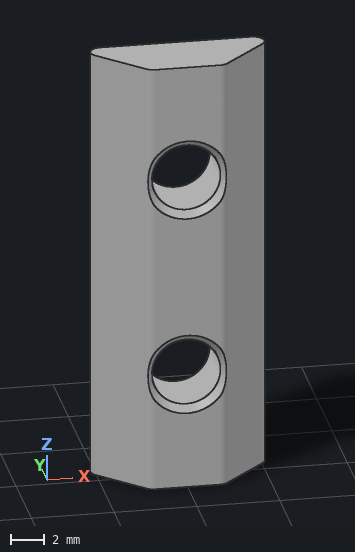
import cadquery as cq

length = 27.0
thickness = 4.0
narrow_width = 4.5
wide_width = narrow_width + 2 * thickness
edge_radius = 0.7

bore_diameter = 4.13
countersink_diameter = 5.0
countersink_depth = (countersink_diameter - bore_diameter) / 2
bore_spacing = 12.5

wide_face_y = thickness / 2
narrow_face_y = -thickness / 2


def make_bar():
    """Trapezoid bar along Z with its four long edges rounded."""
    profile = [
        (-wide_width / 2, wide_face_y),
        (wide_width / 2, wide_face_y),
        (narrow_width / 2, narrow_face_y),
        (-narrow_width / 2, narrow_face_y),
    ]
    bar = cq.Workplane("XY").polyline(profile).close().extrude(length / 2, both=True)
    return bar.edges("|Z").fillet(edge_radius)


def make_bore_cutter(z):
    """Through bore along Y at height z, countersunk from the narrow face."""
    bore_radius = bore_diameter / 2
    half_section = [
        (0, narrow_face_y),
        (countersink_diameter / 2, narrow_face_y),
        (bore_radius, narrow_face_y + countersink_depth),
        (bore_radius, wide_face_y),
        (0, wide_face_y),
    ]
    cutter = cq.Workplane("XY").polyline(half_section).close().revolve(360, (0, 0), (0, 1))
    return cutter.translate((0, 0, z))


result = make_bar()
for bore_z in (-bore_spacing / 2, bore_spacing / 2):
    result = result.cut(make_bore_cutter(bore_z))